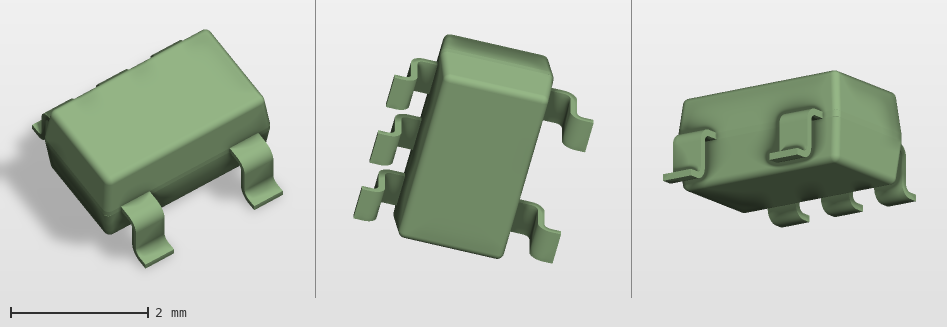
import cadquery as cq
import math


HOUSING_WIDTH = 1.7
HOUSING_LENGTH = 2.9
HOUSING_BOTTOM = 0.05
HOUSING_TOP = 1.45
DRAFT_ANGLE = 6.0
EDGE_RADIUS = 0.1

LEAD_SPAN = 3.0
LEAD_WIDTH = 0.5
LEAD_THICKNESS = 0.1
LEAD_PITCH = 0.95
FOOT_LENGTH = 0.15
BEND_INNER_RADIUS = 0.1
BEND_OUTER_RADIUS = BEND_INNER_RADIUS + LEAD_THICKNESS

BAND_MIDDLE = (HOUSING_BOTTOM + HOUSING_TOP) / 2
BAND_BOTTOM = BAND_MIDDLE - LEAD_THICKNESS / 2
BAND_TOP = BAND_MIDDLE + LEAD_THICKNESS / 2

LEAD_PLACES = [(-1, -1), (-1, 0), (-1, 1), (1, -1), (1, 1)]


def drafted_half(band_edge, height):
    """Drafted block from a band edge; a negative height goes downward."""
    return (
        cq.Workplane("XY")
        .workplane(offset=band_edge)
        .rect(HOUSING_WIDTH, HOUSING_LENGTH)
        .extrude(height, taper=DRAFT_ANGLE)
    )


def make_housing():
    """Band with a drafted half above and below, rounded on its outer edges."""
    band = (
        cq.Workplane("XY")
        .workplane(offset=BAND_BOTTOM)
        .rect(HOUSING_WIDTH, HOUSING_LENGTH)
        .extrude(LEAD_THICKNESS)
    )
    upper = drafted_half(BAND_TOP, HOUSING_TOP - BAND_TOP)
    lower = drafted_half(BAND_BOTTOM, HOUSING_BOTTOM - BAND_BOTTOM)
    block = band.union(upper).union(lower)
    corner_edges = block.edges("not #Z")
    end_edges = block.faces("<Z or >Z").edges()
    return block.newObject(corner_edges.vals() + end_edges.vals()).fillet(EDGE_RADIUS)


def bend_point(centre, radius, angle):
    """Point on a bend arc, at an angle in degrees from +X toward +Z."""
    turn = math.radians(angle)
    return (centre[0] + radius * math.cos(turn), centre[1] + radius * math.sin(turn))


def make_right_lead():
    """Gull-wing lead on the +X side, centred on Y = 0, from its foot up to the band."""
    tip_x = LEAD_SPAN / 2
    root_x = HOUSING_WIDTH / 2
    lower = (tip_x - FOOT_LENGTH, BEND_OUTER_RADIUS)
    shank_outer_x = lower[0] - BEND_INNER_RADIUS
    upper = (shank_outer_x - BEND_OUTER_RADIUS, BAND_TOP - BEND_OUTER_RADIUS)
    return (
        cq.Workplane("XZ")
        .moveTo(tip_x, 0)
        .lineTo(*bend_point(lower, BEND_OUTER_RADIUS, 270))
        .threePointArc(bend_point(lower, BEND_OUTER_RADIUS, 225), bend_point(lower, BEND_OUTER_RADIUS, 180))
        .lineTo(*bend_point(upper, BEND_INNER_RADIUS, 0))
        .threePointArc(bend_point(upper, BEND_INNER_RADIUS, 45), bend_point(upper, BEND_INNER_RADIUS, 90))
        .lineTo(root_x, BAND_BOTTOM)
        .lineTo(root_x, BAND_TOP)
        .lineTo(*bend_point(upper, BEND_OUTER_RADIUS, 90))
        .threePointArc(bend_point(upper, BEND_OUTER_RADIUS, 45), bend_point(upper, BEND_OUTER_RADIUS, 0))
        .lineTo(*bend_point(lower, BEND_INNER_RADIUS, 180))
        .threePointArc(bend_point(lower, BEND_INNER_RADIUS, 225), bend_point(lower, BEND_INNER_RADIUS, 270))
        .lineTo(tip_x, LEAD_THICKNESS)
        .close()
        .extrude(LEAD_WIDTH / 2, both=True)
    )


def make_lead(side, pitch_steps):
    """Lead turned to its side of the housing (-1 or 1) and moved to its place along Y."""
    lead = make_right_lead()
    if side < 0:
        lead = lead.rotate((0, 0, 0), (0, 0, 1), 180)
    return lead.translate((0, pitch_steps * LEAD_PITCH, 0))


housing = make_housing()
leads = [make_lead(side, steps) for side, steps in LEAD_PLACES]

result = cq.Compound.makeCompound([housing.val(), *[lead.val() for lead in leads]])